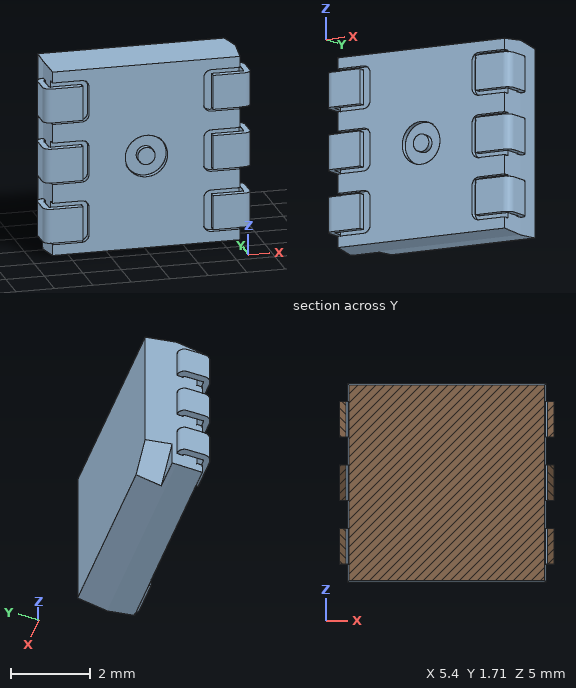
import cadquery as cq

housing_side = 5.0
back_depth = 0.825
front_depth = 0.71
draft_angle = 5.0

corner_mark_leg = 0.8
corner_mark_depth = 0.7

recess_diameter = 1.1
boss_diameter = 0.455
recess_depth = 0.15

lead_span = 5.4
lead_thickness = 0.17
lead_width = 0.9
lead_pitch = 1.6
foot_length = 1.01
bend_radius = 0.2
leads_per_side = 3

pocket_width = 1.1
pocket_tip_gap = 0.2
pocket_corner_radius = 0.2
pocket_depth = 0.15

half_side = housing_side / 2
half_span = lead_span / 2
front_face_y = -front_depth
foot_face_y = front_face_y - lead_thickness
lead_height = front_depth + lead_thickness
lead_rows = [(row - (leads_per_side - 1) / 2) * lead_pitch for row in range(leads_per_side)]
lead_places = [(side, z) for side in (-1, 1) for z in lead_rows]


def plane_at(y):
    """Sketch plane at height y: local x is X, local y is Z, and extrusion runs towards -Y."""
    return cq.Workplane("XZ", origin=(0, y, 0))


def make_tapered_block():
    front_half = plane_at(0).rect(housing_side, housing_side).extrude(front_depth, taper=draft_angle)
    back_half = plane_at(0).rect(housing_side, housing_side).extrude(-back_depth, taper=draft_angle)
    return front_half.union(back_half)


def make_corner_mark():
    """Triangular prism removed from the (-X, -Z) corner of the +Y face."""
    return (
        plane_at(back_depth)
        .moveTo(-half_side, -half_side)
        .lineTo(-half_side + corner_mark_leg, -half_side)
        .lineTo(-half_side, -half_side + corner_mark_leg)
        .close()
        .extrude(corner_mark_depth)
    )


def make_center_recess():
    """Ring removed from the -Y face, which leaves the boss standing."""
    return (
        plane_at(front_face_y)
        .circle(recess_diameter / 2)
        .circle(boss_diameter / 2)
        .extrude(-recess_depth)
    )


def make_lead_pocket(side, z):
    """Pocket behind one foot, open through the side wall and rounded at its inner corners."""
    pocket_length = foot_length + pocket_tip_gap
    return (
        plane_at(front_face_y)
        .center(side * (half_span - pocket_length / 2), z)
        .rect(pocket_length, pocket_width)
        .extrude(-pocket_depth)
        .faces("<X" if side > 0 else ">X")
        .edges("|Y")
        .fillet(pocket_corner_radius)
    )


def make_housing():
    housing = make_tapered_block().cut(make_corner_mark()).cut(make_center_recess())
    for side, z in lead_places:
        housing = housing.cut(make_lead_pocket(side, z))
    return housing


def make_lead(side, z, housing):
    """C-shaped strip that starts flush on the drafted side wall and folds under the -Y face."""
    outer_edges = ">X" if side > 0 else "<X"
    inner_length = foot_length - lead_thickness
    tip_x = side * (half_span - foot_length)
    middle_y = foot_face_y / 2
    blank = (
        cq.Workplane("XY", origin=(tip_x + side * foot_length / 2, middle_y, z))
        .box(foot_length, lead_height, lead_width)
        .faces(outer_edges)
        .edges("|Z")
        .fillet(bend_radius)
    )
    opening = (
        cq.Workplane("XY", origin=(tip_x + side * inner_length / 2, middle_y, z))
        .box(inner_length, lead_height - 2 * lead_thickness, lead_width)
        .faces(outer_edges)
        .edges("|Z")
        .fillet(bend_radius - lead_thickness)
    )
    return blank.cut(opening).cut(housing)


housing = make_housing()
leads = [make_lead(side, z, housing) for side, z in lead_places]

result = cq.Compound.makeCompound([housing.val(), *[lead.val() for lead in leads]])